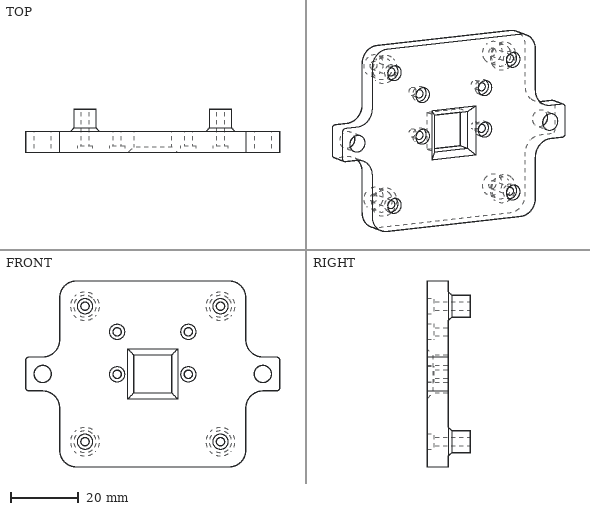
import cadquery as cq

overall_length = 75.0
body_size = 55.0
plate_thickness = 6.3
corner_radius = 5.0

ear_height = 10.05
ear_corner_radius = 1.0
ear_hole_diameter = 5.0
ear_hole_inset = 5.0

screw_hole_diameter = 2.4
counterbore_diameter = 4.5
counterbore_depth = 2.0

post_spacing = 40.0
post_diameter = 6.5
post_length = 6.5
foot_growth = 1.0
foot_height = 1.05

inner_spacing_x = 21.0
inner_spacing_z = 12.5
inner_lower_z = -0.1

window_size = 11.1
window_front_size = 14.8
window_taper_depth = 1.7

corner_points = [
    (x, z)
    for x in (-post_spacing / 2, post_spacing / 2)
    for z in (-post_spacing / 2, post_spacing / 2)
]
inner_points = [
    (x, z)
    for x in (-inner_spacing_x / 2, inner_spacing_x / 2)
    for z in (inner_lower_z, inner_lower_z + inner_spacing_z)
]


def xz_plane(y):
    """Sketch plane at depth y with local axes X and Z; a negative extrusion runs towards +Y."""
    return cq.Workplane("XZ", origin=(0, y, 0))


def cylinder(points, diameter, y_start, y_end):
    """Cylinders along Y at the given (x, z) points."""
    return xz_plane(y_start).pushPoints(points).circle(diameter / 2).extrude(y_start - y_end)


def make_plate():
    body = xz_plane(0).rect(body_size, body_size).extrude(-plate_thickness)
    body = body.edges("|Y").fillet(corner_radius)
    ears = xz_plane(0).rect(overall_length, ear_height).extrude(-plate_thickness)
    ears = ears.edges("|Y").fillet(ear_corner_radius)
    plate = body.union(ears)
    half_body = body_size / 2
    half_ear = ear_height / 2
    for x in (-half_body, half_body):
        for z in (-half_ear, half_ear):
            inner_corner = cq.selectors.NearestToPointSelector((x, plate_thickness / 2, z))
            plate = plate.edges("|Y").edges(inner_corner).fillet(corner_radius)
    return plate


def make_post(x, z):
    """Round post with a conical foot, standing on the back face."""
    radius = post_diameter / 2
    profile = (
        cq.Workplane("XY")
        .lineTo(radius + foot_growth, 0)
        .lineTo(radius, foot_height)
        .lineTo(radius, post_length)
        .lineTo(0, post_length)
        .close()
    )
    post = profile.revolve(360, (0, 0, 0), (0, 1, 0))
    return post.translate((x, plate_thickness, z))


def make_window():
    straight = xz_plane(0).rect(window_size, window_size).extrude(-plate_thickness)
    taper = (
        xz_plane(window_taper_depth)
        .rect(window_size, window_size)
        .workplane(offset=window_taper_depth)
        .rect(window_front_size, window_front_size)
        .loft()
    )
    return straight.union(taper)


result = make_plate()
for post_x, post_z in corner_points:
    result = result.union(make_post(post_x, post_z))

screw_points = corner_points + inner_points
result = result.cut(cylinder(screw_points, screw_hole_diameter, 0, plate_thickness + post_length))
result = result.cut(cylinder(screw_points, counterbore_diameter, 0, counterbore_depth))

ear_hole_x = overall_length / 2 - ear_hole_inset
ear_hole_points = [(-ear_hole_x, 0), (ear_hole_x, 0)]
result = result.cut(cylinder(ear_hole_points, ear_hole_diameter, 0, plate_thickness))
result = result.cut(make_window())